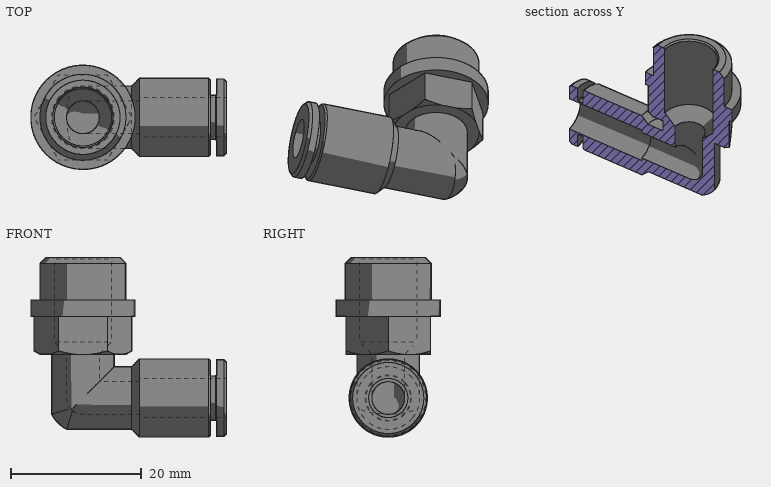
import cadquery as cq
import math


stem_radius = 4.8
corner_start = 2.45
corner_apex = 1.5

hex_across_flats = 13.0
hex_bottom_diameter = 13.17
hex_chamfer_angle = 30.0
hex_bottom = 6.7
flange_bottom = 12.5
flange_top = 15.03
flange_radius = 16.0 / 2
thread_radius = 13.17 / 2
thread_chamfer = 0.9
total_length = 30.0
total_height = 27.5

body_radius = 6.0
shoulder_start = 7.47
shoulder_end = 8.65
body_end = 19.5
body_chamfer = 0.27
neck_radius = 6.8 / 2
neck_flare = 0.12
flare_start = 20.25
collar_start = 20.45
collar_radius = 11.8 / 2
collar_chamfer = 0.45

passage_radius = 5.0 / 2
port_radius = 8.75 / 2
port_mouth_radius = 4.62
socket_radius = 3.0
socket_start = shoulder_end

top = total_height - body_radius
branch_end = total_length - flange_radius


def turned_on_z(points):
    """Revolve a (radius, z) outline about the stem axis."""
    return cq.Workplane("XZ").polyline(points).close().revolve(360, (0, 0), (0, 1))


def turned_on_x(points):
    """Revolve an (x, radius) outline about the branch axis."""
    return cq.Workplane("XZ").polyline(points).close().revolve(360, (0, 0), (1, 0))


def prism_across_y(points):
    """Extrude an (x, z) outline over a width greater than the elbow's."""
    half_width = 2 * stem_radius
    return cq.Workplane("XZ").polyline(points).close().extrude(half_width, both=True)


def corner_spheroid():
    """Spheroid that meets both elbow cylinders in flat curves on the corner's edge planes.

    In the elbow plane, u runs along the mitre line and v across it. Each edge plane is
    v = +/- tan(edge_angle) * (u + apex_distance). The spheroid is
    y^2 + k * (u^2 + v^2) + c * u = constant.
    """
    edge_angle = math.radians(45) - math.atan2(corner_start - corner_apex, stem_radius - corner_apex)
    apex_distance = corner_apex * math.sqrt(2)
    slope = math.tan(edge_angle)
    blend = math.sin(edge_angle) * math.cos(edge_angle)
    k = 0.5 + blend
    offset = blend * slope * apex_distance
    c = slope * apex_distance * (1 - slope * blend) - slope * offset
    constant = stem_radius**2 + slope * apex_distance * offset
    center_u = -c / (2 * k)
    half_width = math.sqrt(constant + k * center_u**2)
    round_radius = half_width / math.sqrt(k)
    center = center_u / math.sqrt(2)
    half_ellipse = cq.Workplane("XY").ellipseArc(
        round_radius, half_width, -90, 90, startAtCurrent=False
    )
    return half_ellipse.close().revolve(360, (0, 0), (0, 1)).translate((center, 0, center))


def elbow():
    reach = shoulder_start
    far = 2 * reach
    above_mitre = prism_across_y([(-far, -far), (far, far), (-far, far)])
    below_mitre = prism_across_y([(-far, -far), (far, far), (far, -far)])
    stem = cq.Workplane("XY").circle(stem_radius).extrude(far, both=True)
    branch = cq.Workplane("YZ").circle(stem_radius).extrude(far, both=True)
    envelope = prism_across_y([(-far, -far), (reach, -far), (reach, hex_bottom), (-far, hex_bottom)])
    mitred = stem.intersect(above_mitre).union(branch.intersect(below_mitre)).intersect(envelope)

    stretch = 3.0
    wedge_far = corner_apex + stretch * (stem_radius - corner_apex)
    wedge_near = corner_apex + stretch * (corner_start - corner_apex)
    wedge = prism_across_y([
        (-corner_apex, -corner_apex),
        (-wedge_far, -wedge_near),
        (-wedge_far, -wedge_far),
        (-wedge_near, -wedge_far),
    ])
    return mitred.cut(wedge).union(corner_spheroid().intersect(wedge))


def hexagon():
    corner_radius = hex_across_flats / math.sqrt(3)
    bottom_radius = hex_bottom_diameter / 2
    chamfer_height = (corner_radius - bottom_radius) * math.tan(math.radians(hex_chamfer_angle))
    prism = (
        cq.Workplane("XY")
        .workplane(offset=hex_bottom)
        .polygon(6, 2 * corner_radius)
        .extrude(flange_bottom - hex_bottom)
    )
    cone = turned_on_z([
        (0, hex_bottom),
        (bottom_radius, hex_bottom),
        (corner_radius, hex_bottom + chamfer_height),
        (corner_radius, flange_bottom),
        (0, flange_bottom),
    ])
    return prism.intersect(cone)


def threaded_spigot():
    return turned_on_z([
        (0, flange_bottom),
        (flange_radius, flange_bottom),
        (flange_radius, flange_top),
        (thread_radius, flange_top),
        (thread_radius, top - thread_chamfer),
        (thread_radius - thread_chamfer, top),
        (0, top),
    ])


def branch_body():
    return turned_on_x([
        (shoulder_start, 0),
        (shoulder_start, stem_radius),
        (shoulder_end, body_radius),
        (body_end - body_chamfer, body_radius),
        (body_end, body_radius - body_chamfer),
        (body_end, neck_radius),
        (flare_start, neck_radius),
        (collar_start, neck_radius + neck_flare),
        (collar_start, collar_radius),
        (branch_end - collar_chamfer, collar_radius),
        (branch_end, collar_radius - collar_chamfer),
        (branch_end, 0),
    ])


def passages():
    funnel_top = hex_bottom + port_radius - passage_radius
    mouth_chamfer = port_mouth_radius - port_radius
    port = turned_on_z([
        (0, 0),
        (passage_radius, 0),
        (passage_radius, hex_bottom),
        (port_radius, funnel_top),
        (port_radius, top - mouth_chamfer),
        (port_mouth_radius, top),
        (0, top),
    ])
    socket = turned_on_x([
        (0, 0),
        (0, passage_radius),
        (socket_start, passage_radius),
        (socket_start, socket_radius),
        (branch_end, socket_radius),
        (branch_end, 0),
    ])
    bend = cq.Workplane("XY").sphere(passage_radius)
    return port.union(bend).union(socket)


outside = elbow().union(hexagon()).union(threaded_spigot()).union(branch_body())
result = outside.cut(passages())